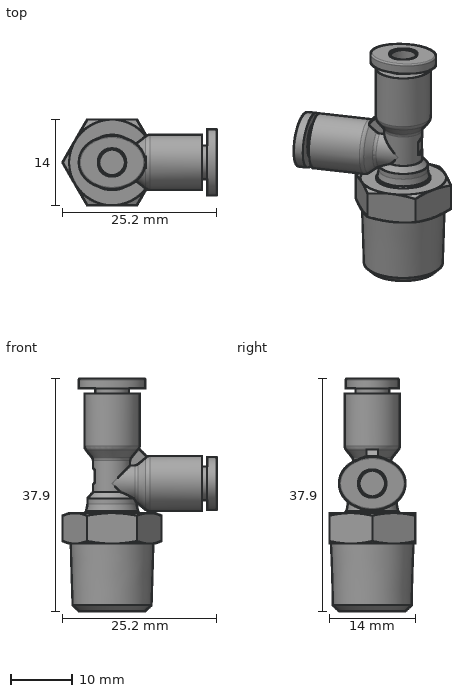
import cadquery as cq
import math

total_height = 37.9
hex_across_flats = 14.0
hex_corner_radius = hex_across_flats / math.sqrt(3)
port_reach = 17.1
branch_height = total_height - port_reach

stem_height = 11.03
stem_tip_height = 1.02
stem_tip_radius = 5.35
stem_bottom_radius = 6.45
stem_top_radius = 6.75

hex_top = 16.0
hex_face_radius = 6.97
hex_corner_drop = 0.4

foot_radius = 4.45
foot_height = 0.3
collar_base_radius = 4.25
collar_radius = 4.0
collar_taper_top = 17.45
collar_top = 18.4
neck_bottom = 19.4

neck_radius = 3.1
body_radius = 4.5
cone_start = 4.0
cone_end = 5.75
neck_fillet = 0.87
body_fillet = 1.05
body_end = 14.65
sleeve_radius = 2.75
ring_start = 15.45
ring_long_radius = 5.42
ring_short_radius = 4.32
ring_edge_fillet = 0.25
tube_radius = 2.1
tube_mouth_chamfer = 0.23
tube_stop = 6.15

web_width = 1.9
web_leg = 10.05

flat_distance = 2.85
flat_center_height = 22.0
flat_length = 2.15
flat_end_slope = 45.0


def revolve_profile(points):
    """Turn a (radius, height) outline around the Z axis."""
    return cq.Workplane("XZ").polyline(points).close().revolve(360, (0, 0, 0), (0, 1, 0))


def make_stem():
    return revolve_profile([
        (0, 0),
        (stem_tip_radius, 0),
        (stem_bottom_radius, stem_tip_height),
        (stem_top_radius, stem_height),
        (0, stem_height),
    ])


def make_hexagon():
    prism = (
        cq.Workplane("XY", origin=(0, 0, stem_height))
        .polygon(6, 2 * hex_corner_radius)
        .extrude(hex_top - stem_height)
    )
    corner_envelope = revolve_profile([
        (0, stem_height),
        (hex_face_radius, stem_height),
        (hex_corner_radius, stem_height + hex_corner_drop),
        (hex_corner_radius, hex_top - hex_corner_drop),
        (hex_face_radius, hex_top),
        (0, hex_top),
    ])
    return prism.intersect(corner_envelope)


def make_collar():
    return revolve_profile([
        (0, hex_top),
        (foot_radius, hex_top),
        (collar_base_radius, hex_top + foot_height),
        (collar_radius, collar_taper_top),
        (collar_radius, collar_top),
        (neck_radius, neck_bottom),
        (neck_radius, branch_height),
        (0, branch_height),
    ])


def make_port():
    """Port pointing along +Z from the origin, with its release ring."""
    body = revolve_profile([
        (0, 0),
        (neck_radius, 0),
        (neck_radius, cone_start),
        (body_radius, cone_end),
        (body_radius, body_end),
        (0, body_end),
    ])
    body = body.edges(cq.NearestToPointSelector((-neck_radius, 0, cone_start))).fillet(neck_fillet)
    body = body.edges(cq.NearestToPointSelector((-body_radius, 0, cone_end))).fillet(body_fillet)
    sleeve = cq.Workplane("XY", origin=(0, 0, body_end)).circle(sleeve_radius).extrude(ring_start - body_end)
    ring = (
        cq.Workplane("XY", origin=(0, 0, ring_start))
        .ellipse(ring_long_radius, ring_short_radius)
        .extrude(port_reach - ring_start)
        .faces(">Z").edges().fillet(ring_edge_fillet)
    )
    return body.union(sleeve).union(ring)


def make_tube_hole():
    """Blind tube socket of a port pointing along +Z from the origin."""
    return revolve_profile([
        (0, tube_stop),
        (tube_radius, tube_stop),
        (tube_radius, port_reach - tube_mouth_chamfer),
        (tube_radius + tube_mouth_chamfer, port_reach),
        (0, port_reach),
    ])


def to_run(shape):
    return shape.translate((0, 0, branch_height))


def to_branch(shape):
    """Lay a port along +X with the long side of its ring along Y."""
    turned = shape.rotate((0, 0, 0), (0, 0, 1), 90).rotate((0, 0, 0), (0, 1, 0), 90)
    return turned.translate((0, 0, branch_height))


def make_web():
    return (
        cq.Workplane("XZ", origin=(0, 0, branch_height))
        .polyline([
            (0, 0),
            (0, web_leg - body_radius),
            (body_radius, web_leg - body_radius),
            (web_leg - body_radius, body_radius),
            (web_leg - body_radius, 0),
        ])
        .close()
        .extrude(web_width / 2, both=True)
    )


def make_flat_cutter():
    cut_depth = neck_radius - flat_distance
    floor_half = flat_length / 2
    mouth_half = floor_half + cut_depth * math.tan(math.radians(flat_end_slope))
    return (
        cq.Workplane("XZ", origin=(0, 0, flat_center_height))
        .polyline([
            (-flat_distance, -floor_half),
            (-flat_distance, floor_half),
            (-neck_radius, mouth_half),
            (-neck_radius, -mouth_half),
        ])
        .close()
        .extrude(neck_radius, both=True)
    )


port = make_port()
tube_hole = make_tube_hole()

result = make_stem().union(make_hexagon()).union(make_collar())
for place in (to_run, to_branch):
    result = result.union(place(port))
result = result.union(make_web())
for place in (to_run, to_branch):
    result = result.cut(place(tube_hole))
result = result.cut(make_flat_cutter())